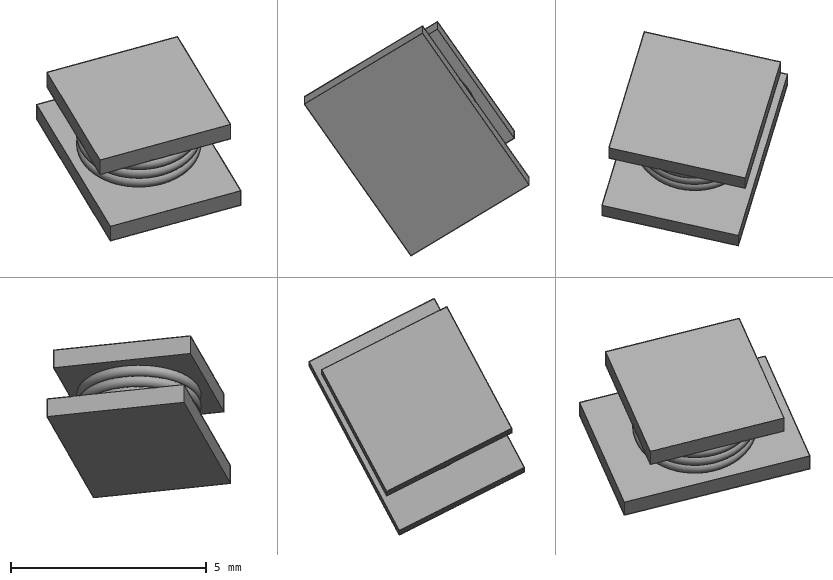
import cadquery as cq

base_length = 5.0
flange_width = 3.6
flange_thickness = 0.5

wire_diameter = 0.3
turn_count = 4
winding_diameter = 3.18

winding_height = turn_count * wire_diameter
winding_radius = winding_diameter / 2
turn_radius = winding_radius - wire_diameter / 2


def plate(length, bottom):
    """Rectangular flange centred on the Z axis."""
    return (
        cq.Workplane("XY")
        .workplane(offset=bottom)
        .rect(length, flange_width)
        .extrude(flange_thickness)
    )


def winding(bottom):
    """Core and wire turns, revolved from a half profile with one arc per turn."""
    profile = cq.Workplane("YZ").moveTo(0, bottom).lineTo(-turn_radius, bottom)
    for turn in range(turn_count):
        turn_bottom = bottom + turn * wire_diameter
        profile = profile.threePointArc(
            (-winding_radius, turn_bottom + wire_diameter / 2),
            (-turn_radius, turn_bottom + wire_diameter),
        )
    profile = profile.lineTo(0, bottom + winding_height).close()
    return profile.revolve(360, (0, 0, 0), (0, 1, 0))


base_plate = plate(base_length, 0)
top_plate = plate(flange_width, flange_thickness + winding_height)
result = base_plate.union(winding(flange_thickness)).union(top_plate)